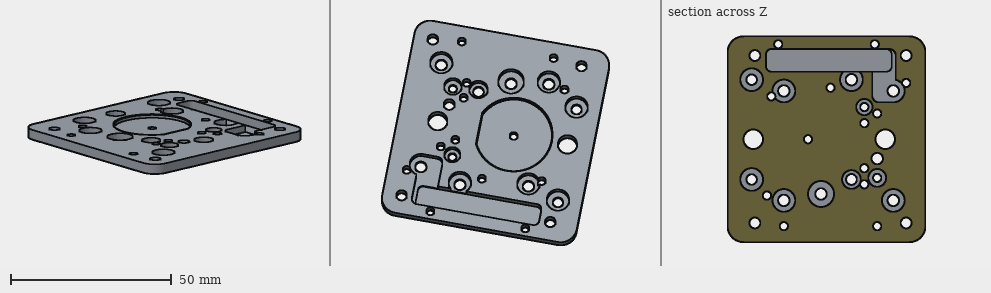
import cadquery as cq

PLATE_X = 61.5
PLATE_Y = 64.0
PLATE_THICKNESS = 3.18
PLATE_CORNER_RADIUS = 5.0

RECESS_X = -5.75

OUTER_LEFT_X = RECESS_X - 17.5
INNER_LEFT_X = RECESS_X - 7.5
CENTRE_RIGHT_X = RECESS_X + 13.5
PIN_COLUMN_X = RECESS_X + 17.5
RIGHT_COLUMN_X = RECESS_X + 21.5
FAR_RIGHT_X = RECESS_X + 26.5
MOUNT_LEFT_X = RECESS_X - 16.5
MOUNT_RIGHT_X = RECESS_X + 30.5

MOUNT_Y = 26.0
OUTER_UPPER_Y = 18.5
OUTER_LOWER_Y = -12.5
INNER_UPPER_Y = 15.0
INNER_LOWER_Y = -19.0
TOP_EDGE_HOLE_Y = 29.5
TOP_EDGE_HOLE_X = 15.0
BOTTOM_EDGE_HOLE_Y = -27.0

SMALL_HOLE_DIAMETER = 2.5
SMALL_HOLES = [
    (RECESS_X, 0),
    (-TOP_EDGE_HOLE_X, TOP_EDGE_HOLE_Y),
    (TOP_EDGE_HOLE_X, TOP_EDGE_HOLE_Y),
    (INNER_LEFT_X, BOTTOM_EDGE_HOLE_Y),
    (RIGHT_COLUMN_X, BOTTOM_EDGE_HOLE_Y),
    (MOUNT_RIGHT_X, 17.5),
    (RECESS_X + 7, 16),
    (RECESS_X - 11.4, 13.3),
    (RIGHT_COLUMN_X, 8),
    (PIN_COLUMN_X, 5),
    (PIN_COLUMN_X, -9),
    (PIN_COLUMN_X, -14),
]
LEFT_PIN_HOLE_DIAMETER = 2.53
LEFT_PIN_HOLE = (RECESS_X - 12.75, -17.5)
MOUNT_HOLE_DIAMETER = 3.33
MOUNT_HOLES = [(x, y) for x in (MOUNT_LEFT_X, MOUNT_RIGHT_X) for y in (-MOUNT_Y, MOUNT_Y)]
RIGHT_PIN_HOLE_DIAMETER = 3.5
RIGHT_PIN_HOLE = (RIGHT_COLUMN_X, -6)
LARGE_HOLE_DIAMETER = 6.0
LARGE_HOLES = [(RECESS_X - 17, 0), (RECESS_X + 24, 0)]

SCREW_HOLE_DIAMETER = 3.5
OUTER_LEFT_HOLE_DIAMETER = 3.2
SCREW_HEAD_DIAMETER = 7.0
COUNTERBORE_DEPTH = 2.18
COUNTERBORED_HOLES = [
    (OUTER_LEFT_X, OUTER_UPPER_Y, OUTER_LEFT_HOLE_DIAMETER, SCREW_HEAD_DIAMETER),
    (OUTER_LEFT_X, OUTER_LOWER_Y, OUTER_LEFT_HOLE_DIAMETER, SCREW_HEAD_DIAMETER),
    (INNER_LEFT_X, INNER_UPPER_Y, SCREW_HOLE_DIAMETER, SCREW_HEAD_DIAMETER),
    (INNER_LEFT_X, INNER_LOWER_Y, SCREW_HOLE_DIAMETER, SCREW_HEAD_DIAMETER),
    (FAR_RIGHT_X, INNER_UPPER_Y, SCREW_HOLE_DIAMETER, SCREW_HEAD_DIAMETER),
    (FAR_RIGHT_X, INNER_LOWER_Y, SCREW_HOLE_DIAMETER, SCREW_HEAD_DIAMETER),
    (CENTRE_RIGHT_X, OUTER_UPPER_Y, SCREW_HOLE_DIAMETER, SCREW_HEAD_DIAMETER),
    (CENTRE_RIGHT_X, OUTER_LOWER_Y, 3.3, 5.75),
    (RECESS_X + 4.05, -17, SCREW_HOLE_DIAMETER, 8.0),
    (PIN_COLUMN_X, 10, SMALL_HOLE_DIAMETER, 5.0),
    (RIGHT_COLUMN_X, -12, SMALL_HOLE_DIAMETER, 5.5),
]

RECESS_RADIUS = 12.125
RECESS_FLAT_OFFSET = 11.0
RECESS_DEPTH = 1.18
RECESS_BEVEL = 0.25

POCKET_LEFT = RECESS_X - 13
POCKET_RIGHT = RECESS_X + 26
POCKET_BOTTOM = 21.0
POCKET_TOP = 28.0
POCKET_DEPTH = 2.9
POCKET_CORNER_RADIUS = 1.59

SIDE_POCKET_LEFT = RECESS_X + 20
SIDE_POCKET_RIGHT = RECESS_X + 27.25
SIDE_POCKET_BOTTOM = INNER_UPPER_Y - SCREW_HEAD_DIAMETER / 2
SIDE_POCKET_CORNER_RADIUS = 2.0


def make_plate():
    plate = cq.Workplane("XY").box(PLATE_X, PLATE_Y, PLATE_THICKNESS, centered=(True, True, False))
    return plate.edges("|Z").fillet(PLATE_CORNER_RADIUS)


def round_cutter(centres, diameter, depth):
    """Cylinders reaching the given depth below the top face."""
    top = cq.Workplane("XY").workplane(offset=PLATE_THICKNESS)
    return top.pushPoints(centres).circle(diameter / 2).extrude(-depth)


def box_cutter(left, right, bottom, top, depth):
    """Rectangular block reaching the given depth below the top face."""
    corner = (left, bottom, PLATE_THICKNESS - depth)
    return cq.Workplane("XY").box(right - left, top - bottom, depth, centered=False).translate(corner)


def cut_plain_holes(body):
    hole_groups = [
        (SMALL_HOLES, SMALL_HOLE_DIAMETER),
        ([LEFT_PIN_HOLE], LEFT_PIN_HOLE_DIAMETER),
        (MOUNT_HOLES, MOUNT_HOLE_DIAMETER),
        ([RIGHT_PIN_HOLE], RIGHT_PIN_HOLE_DIAMETER),
        (LARGE_HOLES, LARGE_HOLE_DIAMETER),
    ]
    for centres, diameter in hole_groups:
        body = body.cut(round_cutter(centres, diameter, PLATE_THICKNESS))
    return body


def cut_counterbored_holes(body):
    for x, y, hole_diameter, counterbore_diameter in COUNTERBORED_HOLES:
        body = body.cut(round_cutter([(x, y)], hole_diameter, PLATE_THICKNESS))
        body = body.cut(round_cutter([(x, y)], counterbore_diameter, COUNTERBORE_DEPTH))
    return body


def d_shaped_cutter(inset, depth):
    """D-shaped block whose outline lies the given inset inside the recess rim."""
    radius = RECESS_RADIUS - inset
    flat_x = RECESS_X + RECESS_FLAT_OFFSET - inset
    disc = round_cutter([(RECESS_X, 0)], 2 * radius, depth)
    return disc.intersect(box_cutter(RECESS_X - radius, flat_x, -radius, radius, depth))


def cut_recess(body):
    body = body.cut(d_shaped_cutter(RECESS_BEVEL, RECESS_DEPTH))
    rim = body.faces(">Z").val().innerWires()[0]
    return body.newObject(rim.Edges()).chamfer(RECESS_BEVEL)


def cut_pockets(body):
    pocket = box_cutter(POCKET_LEFT, POCKET_RIGHT, POCKET_BOTTOM, POCKET_TOP, POCKET_DEPTH)
    pocket = pocket.edges("|Z").fillet(POCKET_CORNER_RADIUS)
    side_pocket = box_cutter(
        SIDE_POCKET_LEFT, SIDE_POCKET_RIGHT, SIDE_POCKET_BOTTOM, POCKET_TOP, COUNTERBORE_DEPTH
    )
    rounded = side_pocket.edges("|Z and ((>X and >Y) or (<X and <Y))")
    side_pocket = rounded.fillet(SIDE_POCKET_CORNER_RADIUS)
    return body.cut(pocket).cut(side_pocket)


result = make_plate()
result = cut_recess(result)
result = cut_pockets(result)
result = cut_plain_holes(result)
result = cut_counterbored_holes(result)